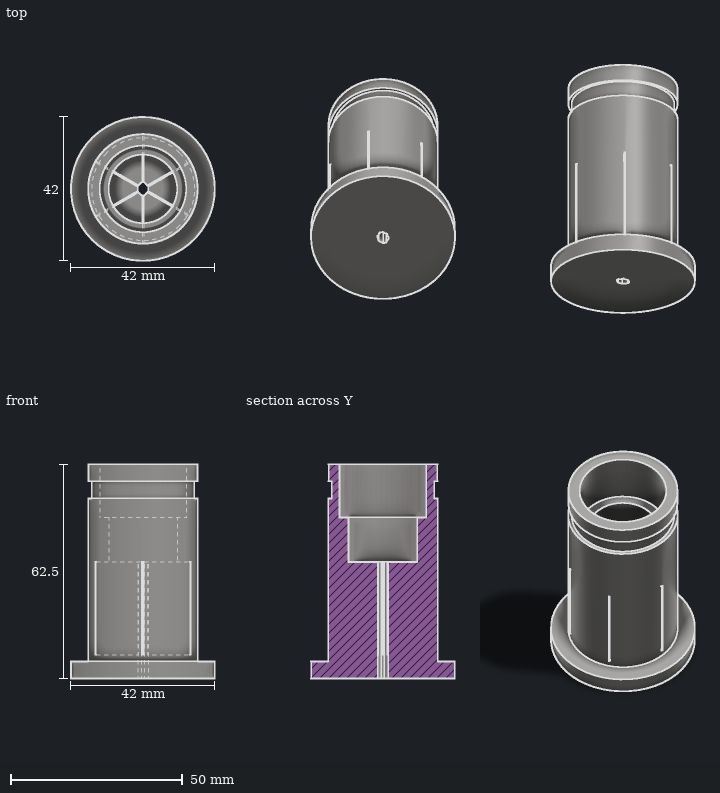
import cadquery as cq

total_height = 62.5
flange_diameter = 42.0
flange_height = 5.0
body_diameter = 32.0

groove_diameter = 30.0
groove_height = 5.0
collar_height = 5.0
collar_diameter = 31.9

upper_bore_diameter = 25.25
upper_bore_depth = 15.5
lower_bore_diameter = 20.0

slot_count = 6
slot_width = 0.4
slot_bottom = 7.0
slot_top = 34.0
slot_height = slot_top - slot_bottom

hole_half_width = 1.5
hole_half_length = 1.9
hole_shoulder = 0.75
hole_end_half_width = 0.45


def cylinder(diameter, bottom, top):
    """Cylinder on the Z axis between two heights."""
    return cq.Workplane("XY").workplane(offset=bottom).circle(diameter / 2).extrude(top - bottom)


def outer_shape():
    """Flanged body with the groove below its top collar."""
    groove_top = total_height - collar_height
    groove_bottom = groove_top - groove_height
    flange = cylinder(flange_diameter, 0, flange_height)
    body = cylinder(body_diameter, flange_height, groove_bottom)
    neck = cylinder(groove_diameter, groove_bottom, groove_top)
    collar = cylinder(collar_diameter, groove_top, total_height)
    return flange.union(body).union(neck).union(collar)


def stepped_bore():
    """Wide upper bore and narrower lower bore ending at the top of the fingers."""
    shelf = total_height - upper_bore_depth
    upper = cylinder(upper_bore_diameter, shelf, total_height)
    lower = cylinder(lower_bore_diameter, slot_top, shelf)
    return upper.union(lower)


def radial_slot(angle):
    """Thin slot from the axis out through the body wall, at an angle from +X."""
    slot = cq.Workplane("XY").workplane(offset=slot_bottom)
    slot = slot.rect(flange_diameter / 2, slot_width).extrude(slot_height)
    return slot.translate((flange_diameter / 4, 0, 0)).rotate((0, 0, 0), (0, 0, 1), angle)


def central_hole():
    """Through hole with two straight sides that taper to a blunt end towards +Y and -Y."""
    quarter = [(hole_half_width, hole_shoulder), (hole_end_half_width, hole_half_length)]
    upper = quarter + [(-x, y) for x, y in reversed(quarter)]
    lower = [(-x, -y) for x, y in upper]
    return cq.Workplane("XY").polyline(upper + lower).close().extrude(total_height)


result = outer_shape().cut(stepped_bore())
for index in range(slot_count):
    result = result.cut(radial_slot(90 + index * 360 / slot_count))
result = result.cut(central_hole())